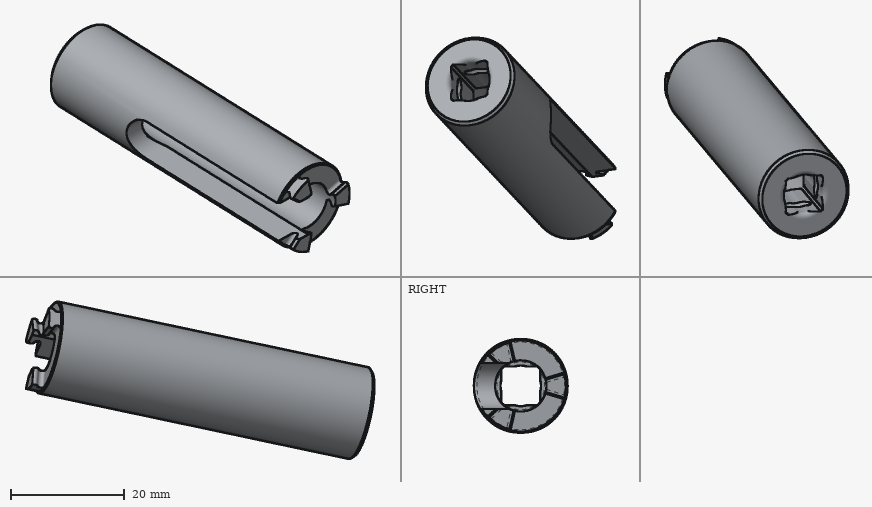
import cadquery as cq

total_length = 60.0
tooth_length = 2.15
body_length = total_length - tooth_length
outer_radius = 16.5 / 2
bore_radius = 9.0 / 2
entry_chamfer = 0.55
tooth_end_chamfer = 0.25

socket_depth = 12.0
socket_width = 6.8
pilot_radius = 3.55
mouth_radius = bore_radius - pilot_radius
detent_position = 4.6
detent_radius = 4.2
detent_half_width = 1.0

slot_width = 8.05
slot_start = 20.0
cut_clearance = 0.6

tooth_count = 3
tooth_outer_radius = 7.9
tooth_half_angle = 17.0
tooth_root = 0.6
groove_depth = 0.7
root_inset = 0.2
head_start = 59.0
head_corner = 0.25
flank_thickness = 6.0


def x_cylinder(radius, start, length):
    return cq.Workplane("YZ", origin=(start, 0, 0)).circle(radius).extrude(length)


def make_body():
    body = x_cylinder(outer_radius, 0, body_length)
    body = body.faces("<X").chamfer(entry_chamfer)
    return body.faces(">X").chamfer(tooth_end_chamfer)


def make_socket():
    """Square with corners cut by the bore, a round pilot hole, a rounded mouth and a detent groove."""
    square = (
        cq.Workplane("YZ")
        .rect(socket_width, socket_width)
        .extrude(socket_depth)
        .intersect(x_cylinder(bore_radius, 0, socket_depth))
    )
    pilot = x_cylinder(pilot_radius, 0, socket_depth)
    mouth = (
        cq.Workplane("XY")
        .lineTo(0, bore_radius)
        .radiusArc((mouth_radius, pilot_radius), -mouth_radius)
        .lineTo(mouth_radius, 0)
        .close()
        .revolve(360, (0, 0, 0), (1, 0, 0))
    )
    detent_start = detent_position - detent_half_width
    detent_end = detent_position + detent_half_width
    detent = (
        cq.Workplane("XY")
        .moveTo(detent_start, 0)
        .lineTo(detent_start, pilot_radius)
        .threePointArc((detent_position, detent_radius), (detent_end, pilot_radius))
        .lineTo(detent_end, 0)
        .close()
        .revolve(360, (0, 0, 0), (1, 0, 0))
    )
    return square.union(pilot).union(mouth).union(detent)


def make_slot():
    """Round-ended slot through the -Y wall only."""
    radius = slot_width / 2
    slot_end = total_length + cut_clearance
    return (
        cq.Workplane("XZ")
        .moveTo(slot_end, radius)
        .lineTo(slot_start + radius, radius)
        .threePointArc((slot_start, 0), (slot_start + radius, -radius))
        .lineTo(slot_end, -radius)
        .close()
        .extrude(outer_radius + cut_clearance)
    )


def make_flank():
    """Half-space of a tooth below its radial flank z = 0, with the groove and rounded head."""
    start = body_length - tooth_root
    crossing = -groove_depth / 2
    groove_middle = (body_length + head_start) / 2
    head_middle = (head_start + total_length) / 2
    return (
        cq.Workplane("XZ")
        .moveTo(start, -root_inset)
        .lineTo(body_length, -root_inset)
        .threePointArc((groove_middle, -groove_depth), (head_start, crossing))
        .threePointArc((head_middle, 0), (total_length, -head_corner))
        .lineTo(total_length, -flank_thickness)
        .lineTo(start, -flank_thickness)
        .close()
        .extrude(-outer_radius)
    )


def make_tooth():
    """Tooth on the +Y side; its inner end is left for the bore to trim."""
    upper = make_flank().rotate((0, 0, 0), (1, 0, 0), tooth_half_angle)
    lower = upper.mirror("XY")
    root = body_length - tooth_root
    disc = x_cylinder(tooth_outer_radius, root, total_length - root)
    return upper.intersect(lower).intersect(disc)


result = make_body()
tooth = make_tooth()
for index in range(tooth_count):
    result = result.union(tooth.rotate((0, 0, 0), (1, 0, 0), index * 360 / tooth_count))
bore = x_cylinder(bore_radius, socket_depth, total_length)
result = result.cut(bore).cut(make_socket()).cut(make_slot())